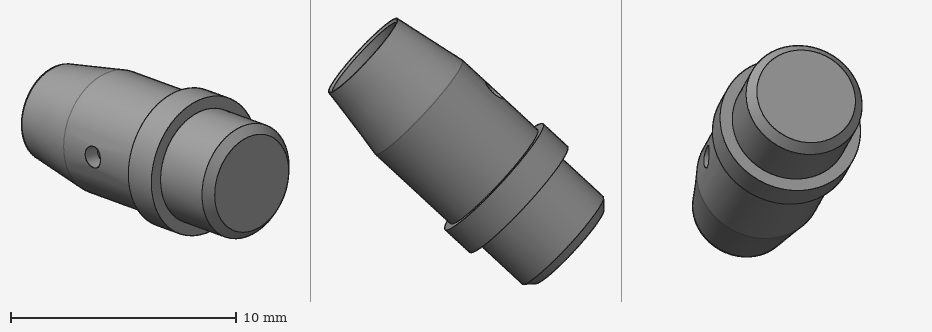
import cadquery as cq
import math

TOTAL_LENGTH = 12.6
MOUTH_RADIUS = 2.25
TAPER_LENGTH = 3.4
BODY_RADIUS = 2.85
FLANGE_START = 8.0
FLANGE_WIDTH = 1.5
FLANGE_RADIUS = 3.21
TAIL_RADIUS = 2.65
TAIL_CHAMFER = 0.4

BORE_RADIUS = 2.1
BORE_DEPTH = 8.0
DRILL_POINT_ANGLE = 124.0
MOUTH_LAND = 0.04
MOUTH_CHAMFER = MOUTH_RADIUS - MOUTH_LAND - BORE_RADIUS

CROSS_HOLE_X = 5.3
CROSS_HOLE_DIAMETER = 1.0


def revolve_about_x(profile):
    """Turn a closed profile about the X axis."""
    return profile.revolve(360, (0, 0, 0), (1, 0, 0))


def make_outer_body():
    """Tapered nose, straight body, flange and chamfered tail."""
    flange_end = FLANGE_START + FLANGE_WIDTH
    profile = (
        cq.Workplane("XY")
        .moveTo(0, 0)
        .lineTo(0, -MOUTH_RADIUS)
        .lineTo(TAPER_LENGTH, -BODY_RADIUS)
        .lineTo(FLANGE_START, -BODY_RADIUS)
        .lineTo(FLANGE_START, -FLANGE_RADIUS)
        .lineTo(flange_end, -FLANGE_RADIUS)
        .lineTo(flange_end, -TAIL_RADIUS)
        .lineTo(TOTAL_LENGTH - TAIL_CHAMFER, -TAIL_RADIUS)
        .lineTo(TOTAL_LENGTH, -(TAIL_RADIUS - TAIL_CHAMFER))
        .lineTo(TOTAL_LENGTH, 0)
        .close()
    )
    return revolve_about_x(profile)


def make_bore():
    """Cutter for the bore: mouth chamfer, straight wall and conical drill point."""
    point_length = BORE_RADIUS / math.tan(math.radians(DRILL_POINT_ANGLE / 2))
    profile = (
        cq.Workplane("XZ")
        .moveTo(0, 0)
        .lineTo(0, BORE_RADIUS + MOUTH_CHAMFER)
        .lineTo(MOUTH_CHAMFER, BORE_RADIUS)
        .lineTo(BORE_DEPTH, BORE_RADIUS)
        .lineTo(BORE_DEPTH + point_length, 0)
        .close()
    )
    return revolve_about_x(profile)


def make_cross_hole():
    """Cutter running from the bore axis out through the -Y wall."""
    return (
        cq.Workplane("XZ")
        .center(CROSS_HOLE_X, 0)
        .circle(CROSS_HOLE_DIAMETER / 2)
        .extrude(FLANGE_RADIUS)
    )


result = make_outer_body().cut(make_bore()).cut(make_cross_hole())